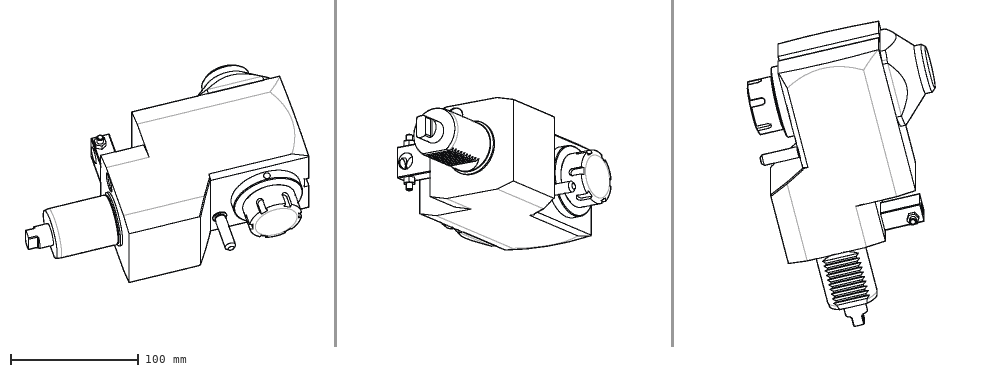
import cadquery as cq
import math

OVERLAP = 1.1

HEIGHT = 75.0
HALF_HEIGHT = HEIGHT / 2
BACK_Y = 156.2
LEFT_X = -72.0
STEP_X = -39.0
STEP_Y = 35.0
NOSE_X = 9.3
FLANGE_X = 39.5
FLANGE_Y = 58.5
SHOULDER_Y = 75.5
BEVEL_WIDTH = 15.3
BEVEL_ANGLE = 15.0
BEVEL_DROP = BEVEL_WIDTH * math.tan(math.radians(BEVEL_ANGLE))
NOSE_BEVEL_WIDTH = 4.3
NOSE_BEVEL_DROP = 3.0
SHOULDER_CHAMFER = 1.0

CROWN_X = -26.2
CROWN_RADIUS = 305.5
CROWN_RISE = 37.0
CROWN_SLOPE = 0.17
CROWN_LENGTH = 228.0

KEYWAY_WIDTH = 10.3
KEYWAY_DEPTH = 3.9

PLUG_X = -16.0
PLUG_Z = 27.8
PLUG_RADIUS = 7.5
PLUG_DEPTH = 1.1

SPINDLE_Y = 120.5
CAP_END_X = -104.9
CAP_TIP_X = -102.1
CAP_CONE_X = -96.7
CAP_BASE_X = -76.2
CAP_FACE_RADIUS = 16.9
CAP_TIP_RADIUS = 19.4
CAP_RADIUS = 40.0
CAP_FLAT_Y = 151.6
CAP_FLAT_HEIGHT = 32.8
CAP_CORNER = 7.8

DISC_RADIUS = 28.3
DISC_END_X = 17.0
DISC_CHAMFER = 0.7
NUT_START_X = 18.5
NUT_BEVEL_X = 37.5
NUT_END_X = 38.8
NECK_RADIUS = 19.4
NUT_RADIUS = 21.5
NUT_FACE_RADIUS = 17.0
NUT_SLOTS = 6
SLOT_WIDTH = 5.7
SLOT_DEPTH = 2.7
SLOT_START_X = 26.2
SPANNER_HOLE_RADIUS = 2.7
SPANNER_HOLE_X = 13.2
SPANNER_HOLE_DEPTH = 2.7

PIN_Y = 83.0
PIN_Z = -17.5
PIN_RADIUS = 4.3
PIN_TIP_RADIUS = 2.5
PIN_TIP_X = 41.3
PIN_CHAMFER = 2.0
PIN_SEAT_RADIUS = 5.7
PIN_SEAT_HEIGHT = 0.7
PIN_NECK_RADIUS = 3.9
PIN_NECK_END_X = 11.2

SHANK_RADIUS = 20.0
SHANK_END_RADIUS = 19.4
SHANK_BEVEL_Y = -49.5
SHANK_END_Y = -53.0
COLLAR_RADIUS = 21.7
COLLAR_Y = -1.5
NECK_START_Y = -2.3
NECK_END_Y = -3.2
SHANK_NECK_RADIUS = 19.5
RACK_Z = -16.0
RACK_FIRST_Y = -11.5
RACK_LENGTH = 36.0
RACK_NOTCHES = 10
RACK_PITCH = RACK_LENGTH / (RACK_NOTCHES - 1)
NOTCH_DEPTH = 2.0
NOTCH_HALF_WIDTH = 1.4

DRIVE_RADIUS = 9.0
DRIVE_SHOULDER_Y = -63.8
DRIVE_END_Y = -71.8
TANG_HALF_WIDTH = 4.3
TANG_FLAT = 13.7
TANG_CHAMFER = 1.0
TANG_ROOT = 1.0

BLOCK_LEFT_X = -70.7
BLOCK_FRONT_Y = 1.4
BLOCK_BACK_Y = 16.5
BLOCK_HEIGHT = 25.3
BLOCK_HALF_HEIGHT = BLOCK_HEIGHT / 2
BLOCK_CHAMFER = 0.7
PORT_X = -63.0
PORT_RADIUS = 6.5
PORT_DEPTH = 11.5
SIDE_PORT_Y = 7.8
SIDE_PORT_RADIUS = 4.8
SIDE_PORT_END_X = -55.9
CHANNEL_RADIUS = 1.4
SCREW_Y = 6.5
SCREW_DIAMETER = 5.2
SCREW_RADIUS = SCREW_DIAMETER / 2
SCREW_TOP = 22.5
STUD_CHAMFER = 0.7
HEX_SIDES = 6
HEX_TOP = 17.0
HEX_WIDTH = 9.5


def mirrored_pair(shape):
    """A shape together with its mirror image below the middle plane."""
    return shape.union(shape.mirror("XY"))


def rod(plane, start, end, radius, across):
    """Cylinder along the plane normal from start to end, centered at `across` in the plane."""
    return cq.Workplane(plane).workplane(offset=start).center(*across).circle(radius).extrude(end - start)


def edge_bevel(edge_x, width, drop, start_y, end_y, inward):
    """Wedges that bevel the upper and lower long edges at edge_x."""
    profile = [
        (edge_x, HALF_HEIGHT - drop),
        (edge_x + inward * width, HALF_HEIGHT),
        (edge_x, HALF_HEIGHT + drop),
    ]
    wedge = cq.Workplane("XZ", origin=(0, start_y, 0)).polyline(profile).close().extrude(start_y - end_y)
    return mirrored_pair(wedge)


def crown():
    """Large cone whose upper side rounds off the rear edge."""
    front_radius = CROWN_RADIUS + CROWN_SLOPE * CROWN_LENGTH
    front_y = BACK_Y - CROWN_LENGTH
    return (
        cq.Workplane("XY", origin=(CROWN_X, 0, CROWN_RISE - CROWN_RADIUS))
        .polyline([(0, front_y), (front_radius, front_y), (CROWN_RADIUS, BACK_Y), (0, BACK_Y)])
        .close()
        .revolve(360, (0, 0, 0), (0, 1, 0))
    )


def chamfer_shoulder(body):
    """Small chamfer along the slanted shoulder, across the flat faces and the flange bevels."""
    bevel_x = FLANGE_X - BEVEL_WIDTH
    slant = (SHOULDER_Y - FLANGE_Y) / (FLANGE_X - NOSE_X)
    flat_x = (NOSE_X + bevel_x) / 2
    flat_y = SHOULDER_Y - slant * (flat_x - NOSE_X)
    slope_x = (bevel_x + FLANGE_X) / 2
    slope_y = SHOULDER_Y - slant * (slope_x - NOSE_X)
    slope_z = HALF_HEIGHT - BEVEL_DROP / 2
    for side in (1, -1):
        flat_edge = cq.selectors.NearestToPointSelector((flat_x, flat_y, side * HALF_HEIGHT))
        bevel_edge = cq.selectors.NearestToPointSelector((slope_x, slope_y, side * slope_z))
        body = body.edges(cq.selectors.SumSelector(flat_edge, bevel_edge)).chamfer(SHOULDER_CHAMFER)
    return body


def housing():
    outline = [
        (STEP_X, 0),
        (FLANGE_X, 0),
        (FLANGE_X, FLANGE_Y),
        (NOSE_X, SHOULDER_Y),
        (NOSE_X, BACK_Y),
        (LEFT_X, BACK_Y),
        (LEFT_X, STEP_Y),
        (STEP_X, STEP_Y),
    ]
    body = (
        cq.Workplane("XY").workplane(offset=-HALF_HEIGHT)
        .polyline(outline).close().extrude(2 * HALF_HEIGHT)
    )
    body = body.cut(edge_bevel(LEFT_X, BEVEL_WIDTH, BEVEL_DROP, STEP_Y, BACK_Y, 1))
    body = body.cut(edge_bevel(STEP_X, BEVEL_WIDTH, BEVEL_DROP, 0, STEP_Y, 1))
    body = body.cut(edge_bevel(FLANGE_X, BEVEL_WIDTH, BEVEL_DROP, 0, SHOULDER_Y, -1))
    body = chamfer_shoulder(body)
    body = body.cut(edge_bevel(NOSE_X, NOSE_BEVEL_WIDTH, NOSE_BEVEL_DROP, SHOULDER_Y, BACK_Y, -1))
    upper_crown = crown()
    body = body.intersect(upper_crown).intersect(upper_crown.mirror("XY"))
    keyway = cq.Workplane("XY").box(
        NOSE_X - LEFT_X, KEYWAY_DEPTH, KEYWAY_WIDTH, centered=(False, False, True)
    ).translate((LEFT_X, BACK_Y - KEYWAY_DEPTH, 0))
    plug_recess = rod("XZ", -PLUG_DEPTH, 0, PLUG_RADIUS, (PLUG_X, PLUG_Z))
    return body.cut(keyway).cut(plug_recess)


def turned_on_spindle(profile):
    """Revolve an (x, radius) profile about the spindle axis."""
    return (
        cq.Workplane("XY", origin=(0, SPINDLE_Y, 0))
        .polyline(profile).close().revolve(360, (0, 0, 0), (1, 0, 0))
    )


def cone_cap():
    base_x = LEFT_X + OVERLAP
    cap = turned_on_spindle([
        (base_x, 0),
        (base_x, CAP_RADIUS),
        (CAP_BASE_X, CAP_RADIUS),
        (CAP_CONE_X, CAP_TIP_RADIUS),
        (CAP_TIP_X, CAP_TIP_RADIUS),
        (CAP_END_X, CAP_FACE_RADIUS),
        (CAP_END_X, 0),
    ])
    front_y = SPINDLE_Y - CAP_RADIUS
    side_outline = [
        (front_y, CAP_FLAT_HEIGHT),
        (CAP_FLAT_Y - CAP_CORNER, CAP_FLAT_HEIGHT),
        (CAP_FLAT_Y, CAP_FLAT_HEIGHT - CAP_CORNER),
        (CAP_FLAT_Y, CAP_CORNER - CAP_FLAT_HEIGHT),
        (CAP_FLAT_Y - CAP_CORNER, -CAP_FLAT_HEIGHT),
        (front_y, -CAP_FLAT_HEIGHT),
    ]
    side_limit = cq.Workplane("YZ").workplane(offset=base_x).polyline(side_outline).close().extrude(
        CAP_END_X - base_x
    )
    slope = math.tan(math.radians(BEVEL_ANGLE))
    end_height = CAP_FLAT_HEIGHT - slope * (CAP_BASE_X - CAP_END_X)
    flats_outline = [
        (base_x, CAP_FLAT_HEIGHT),
        (CAP_BASE_X, CAP_FLAT_HEIGHT),
        (CAP_END_X, end_height),
        (CAP_END_X, -end_height),
        (CAP_BASE_X, -CAP_FLAT_HEIGHT),
        (base_x, -CAP_FLAT_HEIGHT),
    ]
    flats_limit = cq.Workplane("XZ", origin=(0, BACK_Y, 0)).polyline(flats_outline).close().extrude(BACK_Y)
    return cap.intersect(side_limit).intersect(flats_limit)


def collet_nut():
    start_x = NOSE_X - OVERLAP
    nut = turned_on_spindle([
        (start_x, 0),
        (start_x, DISC_RADIUS),
        (DISC_END_X - DISC_CHAMFER, DISC_RADIUS),
        (DISC_END_X, DISC_RADIUS - DISC_CHAMFER),
        (DISC_END_X, NECK_RADIUS),
        (NUT_START_X, NECK_RADIUS),
        (NUT_START_X, NUT_RADIUS),
        (NUT_BEVEL_X, NUT_RADIUS),
        (NUT_END_X, NUT_FACE_RADIUS),
        (NUT_END_X, 0),
    ])
    round_x = SLOT_START_X + SLOT_WIDTH / 2
    slot = (
        cq.Workplane("XY", origin=(0, SPINDLE_Y, NUT_RADIUS - SLOT_DEPTH))
        .moveTo(NUT_END_X, -SLOT_WIDTH / 2)
        .lineTo(round_x, -SLOT_WIDTH / 2)
        .threePointArc((SLOT_START_X, 0), (round_x, SLOT_WIDTH / 2))
        .lineTo(NUT_END_X, SLOT_WIDTH / 2)
        .close()
        .extrude(2 * SLOT_DEPTH)
    )
    spacing = 360 / NUT_SLOTS
    for number in range(NUT_SLOTS):
        angle = (number + 0.5) * spacing
        nut = nut.cut(slot.rotate((0, SPINDLE_Y, 0), (1, SPINDLE_Y, 0), angle))
    spanner_hole = cq.Workplane(cq.Solid.makeCone(
        SPANNER_HOLE_RADIUS, 0, SPANNER_HOLE_DEPTH,
        pnt=cq.Vector(SPANNER_HOLE_X, SPINDLE_Y, DISC_RADIUS), dir=cq.Vector(0, 0, -1),
    ))
    return nut.cut(spanner_hole)


def locating_pin():
    start_x = NOSE_X - OVERLAP
    seat_x = NOSE_X + PIN_SEAT_HEIGHT
    return (
        cq.Workplane("XY", origin=(0, PIN_Y, PIN_Z))
        .polyline([
            (start_x, 0),
            (start_x, PIN_SEAT_RADIUS),
            (seat_x, PIN_SEAT_RADIUS),
            (seat_x, PIN_NECK_RADIUS),
            (PIN_NECK_END_X, PIN_NECK_RADIUS),
            (PIN_NECK_END_X, PIN_RADIUS),
            (PIN_TIP_X - PIN_CHAMFER, PIN_RADIUS),
            (PIN_TIP_X, PIN_TIP_RADIUS),
            (PIN_TIP_X, 0),
        ])
        .close()
        .revolve(360, (0, 0, 0), (1, 0, 0))
    )


def rack_cut():
    """Underside flat of the shank with V notches and a 45 degree run-out into the first one."""
    depth = COLLAR_RADIUS + RACK_Z
    outline = [(RACK_FIRST_Y + NOTCH_DEPTH + depth, RACK_Z - depth)]
    for number in range(RACK_NOTCHES):
        notch_y = RACK_FIRST_Y - number * RACK_PITCH
        if number > 0:
            outline.append((notch_y + NOTCH_HALF_WIDTH, RACK_Z))
        outline.append((notch_y, RACK_Z + NOTCH_DEPTH))
        outline.append((notch_y - NOTCH_HALF_WIDTH, RACK_Z))
    outline.append((SHANK_END_Y, RACK_Z))
    outline.append((SHANK_END_Y, RACK_Z - depth))
    return cq.Workplane("YZ").polyline(outline).close().extrude(SHANK_RADIUS, both=True)


def shank():
    body = (
        cq.Workplane("XY")
        .polyline([
            (0, OVERLAP),
            (COLLAR_RADIUS, OVERLAP),
            (COLLAR_RADIUS, COLLAR_Y),
            (SHANK_NECK_RADIUS, NECK_START_Y),
            (SHANK_NECK_RADIUS, NECK_END_Y),
            (SHANK_RADIUS, NECK_END_Y),
            (SHANK_RADIUS, SHANK_BEVEL_Y),
            (SHANK_END_RADIUS, SHANK_END_Y),
            (0, SHANK_END_Y),
        ])
        .close()
        .revolve(360, (0, 0, 0), (0, 1, 0))
    )
    return body.cut(rack_cut())


def drive_tang():
    root = rod("XZ", -SHANK_END_Y - OVERLAP, -DRIVE_SHOULDER_Y, DRIVE_RADIUS, (0, 0))
    round_end = rod("XZ", -DRIVE_SHOULDER_Y, -DRIVE_END_Y, DRIVE_RADIUS, (0, 0))
    blade_length = 2 * DRIVE_RADIUS
    blade = cq.Workplane("XY").box(
        2 * TANG_HALF_WIDTH, -DRIVE_END_Y, blade_length, centered=(True, False, True)
    ).translate((0, DRIVE_END_Y, 0))
    corner_run = (blade_length - TANG_FLAT) / 2
    blade = blade.edges("|Y").chamfer(corner_run, TANG_CHAMFER)
    flare_outline = [
        (-TANG_HALF_WIDTH - TANG_ROOT, DRIVE_SHOULDER_Y),
        (TANG_HALF_WIDTH + TANG_ROOT, DRIVE_SHOULDER_Y),
        (TANG_HALF_WIDTH, DRIVE_SHOULDER_Y - TANG_ROOT),
        (-TANG_HALF_WIDTH, DRIVE_SHOULDER_Y - TANG_ROOT),
    ]
    flare = cq.Workplane("XY").polyline(flare_outline).close().extrude(DRIVE_RADIUS, both=True)
    return root.union(round_end.intersect(blade.union(flare)))


def coolant_block():
    block = (
        cq.Workplane("XY")
        .box(
            STEP_X + OVERLAP - BLOCK_LEFT_X,
            BLOCK_BACK_Y - BLOCK_FRONT_Y,
            2 * BLOCK_HALF_HEIGHT,
            centered=(False, False, True),
        )
        .translate((BLOCK_LEFT_X, BLOCK_FRONT_Y, 0))
        .edges("|X").chamfer(BLOCK_CHAMFER)
    )
    nut = (
        cq.Workplane("XY", origin=(PORT_X, SCREW_Y, BLOCK_HALF_HEIGHT - OVERLAP))
        .polygon(HEX_SIDES, HEX_WIDTH).extrude(HEX_TOP - BLOCK_HALF_HEIGHT + OVERLAP)
    )
    stud = rod("XY", BLOCK_HALF_HEIGHT, SCREW_TOP, SCREW_RADIUS, (PORT_X, SCREW_Y))
    stud = stud.faces(">Z").chamfer(STUD_CHAMFER)
    front_port = rod("XZ", -BLOCK_FRONT_Y - PORT_DEPTH, -BLOCK_FRONT_Y, PORT_RADIUS, (PORT_X, 0))
    side_port = rod("YZ", BLOCK_LEFT_X, SIDE_PORT_END_X, SIDE_PORT_RADIUS, (SIDE_PORT_Y, 0))
    channel = rod("YZ", SIDE_PORT_END_X, STEP_X, CHANNEL_RADIUS, (SIDE_PORT_Y, 0))
    block = block.union(mirrored_pair(nut.union(stud)))
    return block.cut(front_port).cut(side_port).cut(channel)


result = housing()
for part in (cone_cap(), collet_nut(), locating_pin(), shank(), drive_tang(), coolant_block()):
    result = result.union(part)